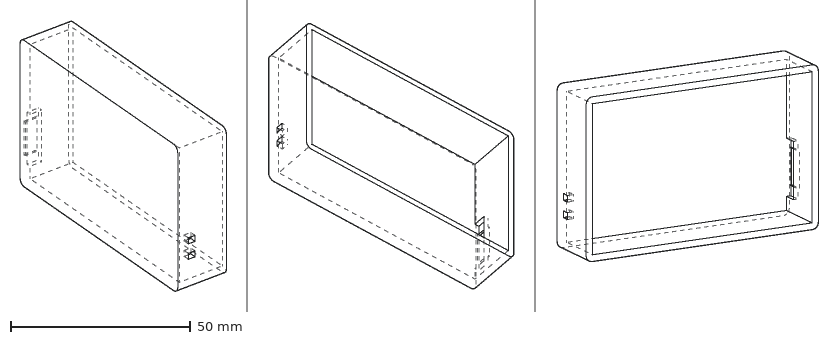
import cadquery as cq

length = 74.0
depth = 16.95
height = 47.7
wall = 2.0
corner_radius = wall

window_front = 1.4
window_back = 6.0
window_bottom = 9.0
window_height = 10.95

thin_wall = 0.6
relief_margin = 2.95

port_front = 3.7
port_height = 1.9
port_bottoms = (9.85, 14.9)


def box_between(low, high):
    """Axis-aligned box given by two opposite corners."""
    size = [b - a for a, b in zip(low, high)]
    return cq.Workplane("XY").box(*size, centered=False).translate(low)


def make_tray():
    body = box_between((0, 0, 0), (length, depth, height))
    body = body.edges("|Y").fillet(corner_radius)
    cavity = box_between((wall, wall, wall), (length - wall, depth, height - wall))
    return body.cut(cavity)


def make_window():
    return box_between(
        (0, window_front, window_bottom),
        (thin_wall, window_back, window_bottom + window_height),
    )


def make_window_relief():
    relief_top = window_bottom + window_height + relief_margin
    return box_between(
        (thin_wall, wall, window_bottom - relief_margin),
        (wall, window_back, relief_top),
    )


def make_port(bottom):
    return box_between(
        (length - wall, port_front, bottom),
        (length, window_back, bottom + port_height),
    )


result = make_tray().cut(make_window()).cut(make_window_relief())
for port_bottom in port_bottoms:
    result = result.cut(make_port(port_bottom))